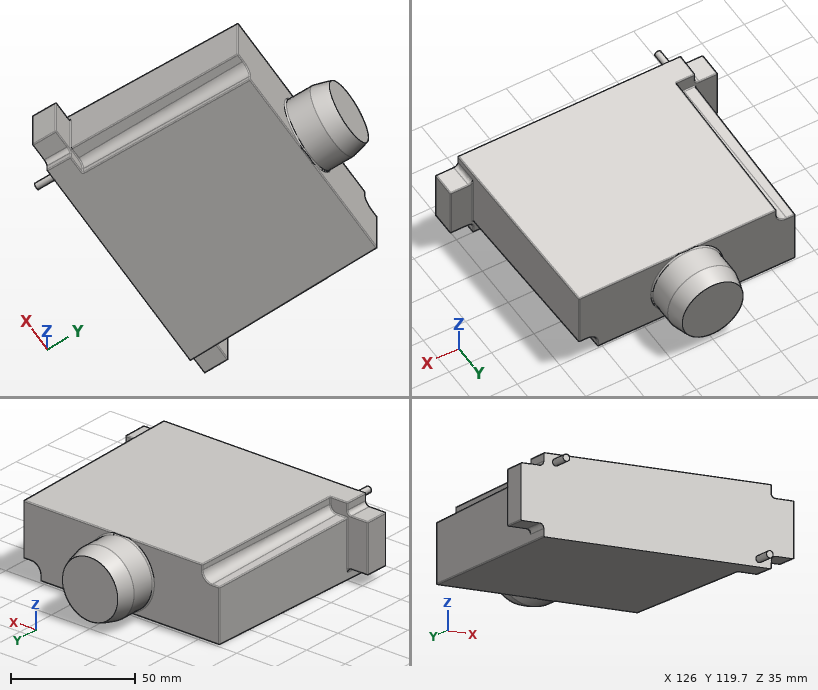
import cadquery as cq
import math


HOUSING_WIDTH = 105.1
HOUSING_HEIGHT = 35.0
HOUSING_DEPTH = 91.1
SIDE_DRAFT = 1.0
TOP_DRAFT = 0.5
EDGE_ROUND = 0.44

EAR_SPAN = 126.0
EAR_HEIGHT = 24.1
EAR_DEPTH = 11.3
EAR_ROOT_RADIUS = 2.0

SCREW_X = 47.0
SCREW_Z = 14.1
SCREW_DIAMETER = 3.0
SCREW_LENGTH = 8.7

CHANNEL_START_RADIUS = 3.5
CHANNEL_DRAFT = 1.0

GLAND_DIAMETER = 33.0
GLAND_TIP_DIAMETER = 28.7
GLAND_LENGTH = 19.9
GLAND_NOSE_LENGTH = 7.8
GLAND_NOSE_BULGE = 0.19
GLAND_ROOT_RADIUS = 0.6


def draft_offset(depth, angle):
    """Distance a drafted face moves inward over a depth."""
    return depth * math.tan(math.radians(angle))


def drafted_block(width, height, depth, side_draft, top_draft):
    """Block from the mounting face to a depth, with its own draft on each pair of sides."""
    rear_width = width - 2 * draft_offset(depth, side_draft)
    rear_height = height - 2 * draft_offset(depth, top_draft)
    return (
        cq.Workplane("XZ")
        .rect(width, height)
        .workplane(offset=-depth)
        .rect(rear_width, rear_height)
        .loft(ruled=True)
    )


def channel_profile(plane, radius):
    """Corner cut with a round floor, centred on the screw axis and open outward."""
    open_x = HOUSING_WIDTH
    open_z = HOUSING_HEIGHT
    diagonal = radius * math.sqrt(0.5)
    return (
        plane
        .moveTo(-SCREW_X + radius, open_z)
        .lineTo(-SCREW_X + radius, SCREW_Z)
        .threePointArc(
            (-SCREW_X + diagonal, SCREW_Z - diagonal),
            (-SCREW_X, SCREW_Z - radius),
        )
        .lineTo(-open_x, SCREW_Z - radius)
        .lineTo(-open_x, open_z)
        .close()
    )


def screw_channel():
    """Channel at the -X, +Z corner, from the back of the ear through the rear face."""
    length = HOUSING_DEPTH - EAR_DEPTH
    rear_radius = CHANNEL_START_RADIUS + draft_offset(length, CHANNEL_DRAFT)
    start = channel_profile(cq.Workplane("XZ", origin=(0, EAR_DEPTH, 0)), CHANNEL_START_RADIUS)
    return channel_profile(start.workplane(offset=-length), rear_radius).loft(ruled=True)


def half_turn(shape):
    """Copy at the opposite corner, turned half round about the Y axis."""
    return shape.rotate((0, 0, 0), (0, 1, 0), 180)


def ears():
    """Bar across the mounting face whose two ends stand out as the mounting ears."""
    return drafted_block(EAR_SPAN, EAR_HEIGHT, EAR_DEPTH, 0, TOP_DRAFT)


def housing():
    """Drafted block with channels and ears, every edge rounded except those in the mounting face."""
    channel = screw_channel()
    block = drafted_block(HOUSING_WIDTH, HOUSING_HEIGHT, HOUSING_DEPTH, SIDE_DRAFT, TOP_DRAFT)
    body = block.cut(channel).cut(half_turn(channel)).union(ears())

    half_root = EAR_ROOT_RADIUS / 2
    root_zone = cq.selectors.BoxSelector(
        (-HOUSING_WIDTH / 2 - half_root, half_root, -EAR_HEIGHT / 2 - half_root),
        (HOUSING_WIDTH / 2 + half_root, EAR_DEPTH - half_root, EAR_HEIGHT / 2 + half_root),
    )
    body = body.edges(root_zone).fillet(EAR_ROOT_RADIUS)
    return body.edges("not <Y").fillet(EDGE_ROUND)


def gland():
    """Round gland with a rounded nose and a flared root, the flare trimmed level with the housing."""
    radius = GLAND_DIAMETER / 2
    tip_radius = GLAND_TIP_DIAMETER / 2
    nose_start = GLAND_LENGTH - GLAND_NOSE_LENGTH
    flare_bend = GLAND_ROOT_RADIUS * (1 - math.sqrt(0.5))
    barrel = (
        cq.Workplane("XY", origin=(0, HOUSING_DEPTH, 0))
        .moveTo(0, -EDGE_ROUND)
        .lineTo(radius + GLAND_ROOT_RADIUS, -EDGE_ROUND)
        .lineTo(radius + GLAND_ROOT_RADIUS, 0)
        .threePointArc((radius + flare_bend, flare_bend), (radius, GLAND_ROOT_RADIUS))
        .lineTo(radius, nose_start)
        .sagittaArc((tip_radius, GLAND_LENGTH), -GLAND_NOSE_BULGE)
        .lineTo(0, GLAND_LENGTH)
        .close()
        .revolve(360, (0, 0, 0), (0, 1, 0))
    )
    rear_height = HOUSING_HEIGHT - 2 * draft_offset(HOUSING_DEPTH, TOP_DRAFT)
    trim = cq.Workplane("XY", origin=(0, HOUSING_DEPTH, 0)).box(EAR_SPAN, 2 * GLAND_LENGTH, rear_height)
    return barrel.intersect(trim)


def screw():
    """Screw end standing out of the mounting face at the -X, +Z corner."""
    return (
        cq.Workplane("XZ")
        .center(-SCREW_X, SCREW_Z)
        .circle(SCREW_DIAMETER / 2)
        .extrude(SCREW_LENGTH)
    )


result = housing().union(gland()).union(screw()).union(half_turn(screw()))